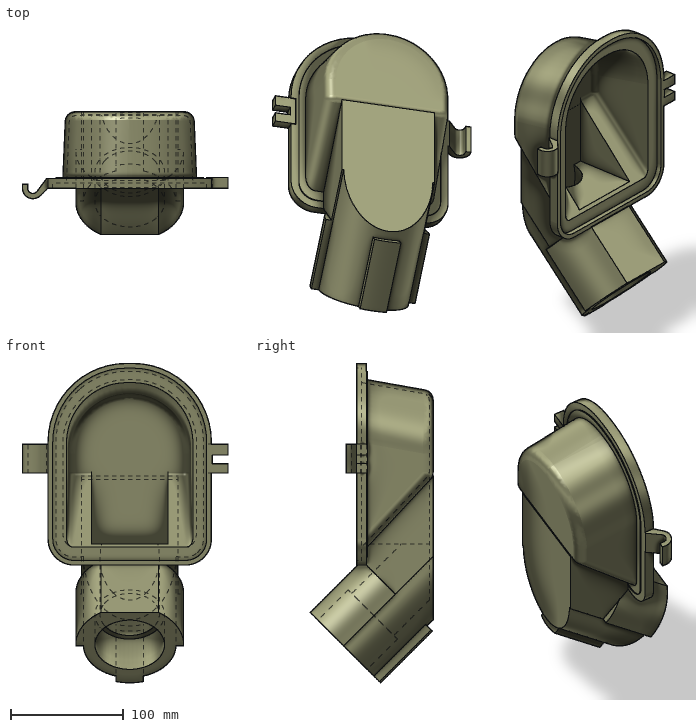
import cadquery as cq
import math


flange_half_width = 72.5
flange_bottom = -109.3
flange_thickness = 8.8
flange_corner_radius = 23.2
arc_center_offset = 2.8
rim_width = 4.2
recess_depth = 4.5
pad_inset = 7.0
pad_thickness = 0.8

hood_depth = 68.0
hood_arc_radius = 57.0
hood_drop_per_depth = 0.178
hood_fillet = 9.3
wall = 3.55
slope_angle = math.radians(47)
slope_back_z = -30.45

neck_half_width = 42.8
neck_overlap_y = 5.7
slot_half_width = 34.0
slot_floor_z = -90.5
slot_top_z = -25.5

spout_tilt = math.radians(45)
spout_end_y = -12.5
spout_end_z = -179.8
spout_radius = 41.2
spout_length = 170.0
collar_radius = 48.0
collar_length = 64.9
collar_flat = 40.5
collar_skirt = 1.5
key_width = 24.4
socket_radius = 31.0
socket_depth = 38.0
bore_radius = 26.3

lug_top = -2.0
lug_height = 25.8
hook_center_x = -85.8
hook_outer_radius = 9.3
hook_inner_radius = 4.5
hook_tip_y = 3.7
hook_root_x = -73.5
fork_tip_x = 87.2
fork_slot_x = 73.3
fork_slot_top = -11.5
fork_slot_height = 7.6

margin = 283.2

inner_depth = hood_depth - wall


def block(x_min, x_max, y_min, y_max, z_min, z_max):
    size = (x_max - x_min, y_max - y_min, z_max - z_min)
    return cq.Workplane("XY").box(*size, centered=False).translate((x_min, y_min, z_min))


def side_prism(points, half_width):
    """Prism across X from an outline of (y, z) points."""
    return cq.Workplane("YZ").polyline(points).close().extrude(half_width, both=True)


def arched_plate(inset, y_start, thickness):
    """Flange outline shrunk by inset, running back from y_start."""
    half_width = flange_half_width - inset
    bottom = flange_bottom + inset
    top = half_width - arc_center_offset
    bend = top * math.sqrt(0.5)
    outline = (
        cq.Workplane("XZ", origin=(0, y_start, 0))
        .moveTo(-half_width, bottom)
        .lineTo(-half_width, 0)
        .threePointArc((-arc_center_offset - bend, bend), (-arc_center_offset, top))
        .lineTo(arc_center_offset, top)
        .threePointArc((arc_center_offset + bend, bend), (half_width, 0))
        .lineTo(half_width, bottom)
        .close()
    )
    corners = outline.extrude(-thickness).edges("|Y and <Z")
    return corners.fillet(flange_corner_radius - inset)


def slope_z(y, offset):
    """Height of the sloped underside at y, moved inward by offset."""
    drop = (hood_depth - y) * math.tan(slope_angle)
    return slope_back_z - drop + offset / math.cos(slope_angle)


def hood_body(offset):
    """Hood shape moved inward by offset: 0 is the outside, the wall gives the cavity."""
    radius = hood_arc_radius - offset
    depth = hood_depth - offset
    left = -arc_center_offset - radius
    bend = radius * math.sqrt(0.5)
    profile = (
        cq.Workplane("XZ")
        .moveTo(left, flange_bottom)
        .lineTo(left, 0)
        .threePointArc((-arc_center_offset - bend, bend), (-arc_center_offset, radius))
        .lineTo(arc_center_offset, radius)
        .lineTo(arc_center_offset, flange_bottom)
        .close()
        .wire()
        .val()
    )
    lean = cq.Vector(arc_center_offset, depth, -hood_drop_per_depth * depth)
    half = cq.Workplane(cq.Solid.extrudeLinear(profile, [], lean))
    half = half.intersect(block(-margin, 0, 0, depth, -margin, margin))
    body = half.union(half.mirror("YZ"))
    above_slope = [
        (0, slope_z(0, offset)),
        (depth, slope_z(depth, offset)),
        (depth, margin),
        (0, margin),
    ]
    body = body.intersect(side_prism(above_slope, margin))
    back_edges = body.faces(">Y").edges()
    slope_sides = body.faces("<Z").edges("not |X")
    return body.newObject(back_edges.add(slope_sides).vals()).fillet(hood_fillet - offset)


def spout_plane(distance):
    """Plane across the spout, distance up from its open end; local +Y is the underside."""
    along_y = math.cos(spout_tilt)
    along_z = math.sin(spout_tilt)
    origin = (0, spout_end_y + distance * along_y, spout_end_z + distance * along_z)
    return cq.Workplane(cq.Plane(origin, xDir=(1, 0, 0), normal=(0, along_y, along_z)))


def spout():
    tube = spout_plane(0).circle(spout_radius).extrude(spout_length)
    disc = spout_plane(0).circle(collar_radius).extrude(collar_length)
    upper_height = collar_flat + collar_skirt
    upper = (
        spout_plane(0)
        .center(0, collar_skirt - upper_height / 2)
        .rect(2 * collar_radius, upper_height)
        .extrude(collar_length)
    )
    key = (
        spout_plane(0)
        .center(0, collar_radius / 2)
        .rect(key_width, collar_radius)
        .extrude(collar_length)
    )
    inside_back = block(-margin, margin, -margin, hood_depth, -margin, margin)
    below_flat = (
        spout_plane(0)
        .center(0, margin / 2 - collar_flat)
        .rect(margin, margin)
        .extrude(spout_length)
    )
    tube = tube.intersect(inside_back).intersect(below_flat)
    return tube.union(disc.intersect(upper)).union(disc.intersect(key))


def neck():
    collar_sum = spout_end_y + spout_end_z + collar_length * math.sqrt(2)
    edge_difference = spout_end_y - spout_end_z + collar_skirt * math.sqrt(2)
    corner_y = (collar_sum + edge_difference) / 2
    outline = [
        (hood_depth, slope_back_z),
        (neck_overlap_y, slope_z(neck_overlap_y, 0)),
        (neck_overlap_y, collar_sum - neck_overlap_y),
        (corner_y, collar_sum - corner_y),
        (hood_depth, hood_depth - edge_difference),
    ]
    return side_prism(outline, neck_half_width)


def slot():
    """Opening through the sloped floor, down to a level floor inside the neck."""
    front_y = inner_depth - (slope_z(inner_depth, wall) - slot_floor_z) / math.tan(slope_angle)
    outline = [(front_y, slot_floor_z), (inner_depth, slot_floor_z), (inner_depth, slot_top_z)]
    return side_prism(outline, slot_half_width)


def bores():
    socket = spout_plane(0).circle(socket_radius).extrude(socket_depth)
    bore = spout_plane(0).circle(bore_radius).extrude(spout_length)
    bore = bore.intersect(block(-margin, margin, -margin, inner_depth, -margin, margin))
    return socket.union(bore)


def hook():
    """J-shaped catch on the -X side; its arm is tangent to both arcs."""
    def on_arc(radius, angle):
        return (hook_center_x + radius * math.cos(angle), radius * math.sin(angle))

    root_dx = hook_root_x - hook_center_x
    root_distance = math.hypot(root_dx, flange_thickness)
    inner_tangent = math.atan2(flange_thickness, root_dx) - math.acos(hook_inner_radius / root_distance)
    outer_tangent = math.radians(-45)
    bottom = math.radians(-90)
    root_y = 0.0
    outline = (
        cq.Workplane("XY", origin=(0, 0, lug_top))
        .moveTo(-flange_half_width, flange_thickness)
        .lineTo(hook_root_x, flange_thickness)
        .lineTo(*on_arc(hook_inner_radius, inner_tangent))
        .threePointArc(on_arc(hook_inner_radius, bottom), (hook_center_x - hook_inner_radius, 0))
        .lineTo(hook_center_x - hook_inner_radius, hook_tip_y)
        .lineTo(hook_center_x - hook_outer_radius, hook_tip_y)
        .lineTo(hook_center_x - hook_outer_radius, 0)
        .threePointArc(on_arc(hook_outer_radius, bottom), on_arc(hook_outer_radius, outer_tangent))
        .lineTo(hook_center_x + hook_outer_radius * math.sqrt(2), root_y)
        .lineTo(-flange_half_width, root_y)
        .close()
    )
    return outline.extrude(-lug_height)


def fork():
    root_x = flange_half_width - rim_width
    depth = flange_thickness + pad_thickness
    lug = block(root_x, fork_tip_x, 0, depth, lug_top - lug_height, lug_top)
    gap = block(fork_slot_x, fork_tip_x, 0, depth, fork_slot_top - fork_slot_height, fork_slot_top)
    return lug.cut(gap)


flange = arched_plate(0, 0, flange_thickness)
back_pad = arched_plate(pad_inset, flange_thickness, pad_thickness)
recess = arched_plate(rim_width, 0, recess_depth)

result = flange.union(back_pad).union(hood_body(0)).union(neck()).union(spout())
result = result.cut(recess).union(hook()).union(fork())
result = result.cut(hood_body(wall)).cut(slot()).cut(bores())